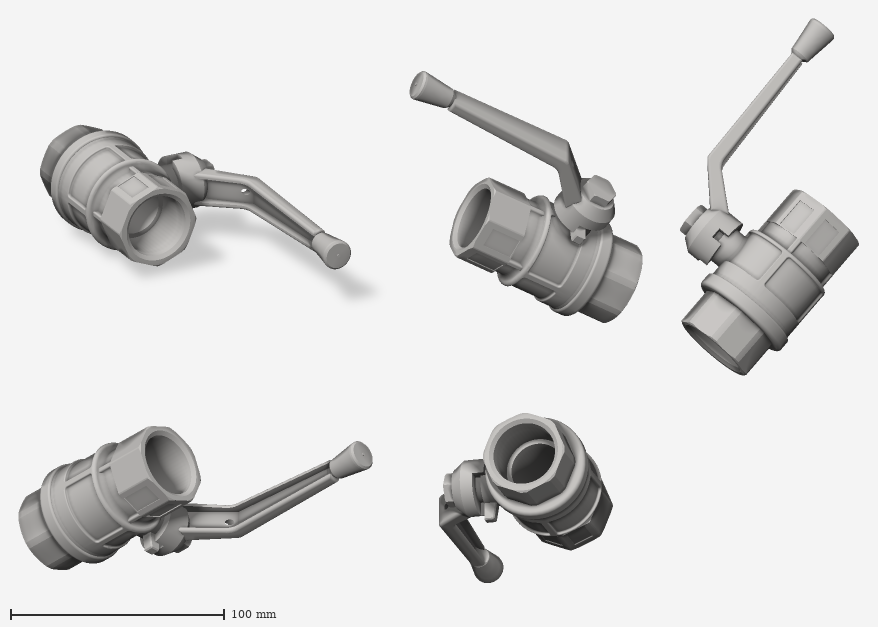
import cadquery as cq
import math


overall_length = 151.5
overall_height = 91.0
clearance = 1.5

through_radius = 12.7
thread_radius = 15.0
thread_depth = 24.2
mouth_radius = 16.8
mouth_depth = 1.5
wall_radius = mouth_radius

left_across_corners = 40.9
left_turned_radius = 19.8
end_chamfer_length = 0.6
end_chamfer_height = 0.9

flange_start = 19.1
flange_end = 26.0
flange_radius = 49.0 / 2
flange_front_round = 1.7
flange_back_round = 1.0
body_start = 27.4
foot_height = 0.3
body_radius = 23.0
body_end = 55.0
body_round = 1.7

panel_start = 34.8
panel_end = 52.9
panel_depth = 1.4
panel_gap = 3.3
panel_corner = 1.4
panel_floor_round = 0.68
panel_rim_round = 0.53

neck_radius = 18.6
rib_width = 2.7
rib_top_round = 0.8
rib_root_round = 0.8
neck_flare_round = 2.3
right_start = 62.7
right_end = 82.7
right_across_corners = 40.9
right_turned_radius = 20.3
right_corner_round = 1.5
label_start = 63.3
label_length = 14.8
label_width = 9.4
label_depth = 0.5
label_places = [(22.5, 0), (-22.5, 1.0), (157.5, 0), (-157.5, 0)]

stem_x = 41.2
collar_radius = 9.4
collar_top = 30.0
collar_root_round = 1.5
stem_radius = 7.1
cap_radius = 13.3
cap_bottom = 27.5
cap_shoulder = 39.0
cap_top = 44.1
cap_top_radius = 9.4
notch_width = 5.3
notch_top = 33.0
nut_across_corners = 16.2
nut_top = 48.6
nut_chamfer = 0.5

lug_reach = 17.1
lug_tip_bottom = 25.3
lug_root_bottom = 24.1
lug_root_reach = 9.8
lug_bevel = 0.6

lever_tip_x = 133.3
lever_tip_half_width = 5.2
lever_taper = 0.039
arm_top_root = (48.5, 42.4)
arm_top_bend = (67.4, 60.5)
arm_top_tip = (131.8, 62.4)
arm_bottom_tip = (131.8, 56.4)
arm_bottom_bend = (69.0, 53.3)
arm_bottom_root = (52.5, 34.4)
arm_edge_round = 1.4
arm_top_bend_round = 3.3
arm_bend_round = 7.5
channel_wall = 2.1
channel_web = 2.7
channel_end = 127.1
ramp_flat = 0.8
ramp_exit_x = 133.6
ramp_radius = 6.8
sight_hole_radius = 1.5
sight_hole_y = 55.0
grip_start = 130.6
grip_tip_radius = 2.9
grip_neck_x = 133.6
grip_neck_radius = 5.0
grip_rim_x = 149.1
grip_radius = 7.1
grip_rim_chamfer = 0.9
grip_end = 151.0
nub_radius = 0.8
grip_y = overall_height - flange_radius - grip_radius


def rod(x_start, x_end, radius):
    """Cylinder on the flow axis."""
    return cq.Workplane("YZ", origin=(x_start, 0, 0)).circle(radius).extrude(x_end - x_start)


def post(y_start, y_end, radius):
    """Cylinder on the stem axis."""
    plane = cq.Plane(origin=(stem_x, y_start, 0), xDir=(1, 0, 0), normal=(0, 1, 0))
    return cq.Workplane(plane).circle(radius).extrude(y_end - y_start)


def block(x_range, y_range, z_range):
    """Box between the given limits."""
    lows, highs = zip(x_range, y_range, z_range)
    sizes = [high - low for low, high in zip(lows, highs)]
    return cq.Workplane("XY").box(*sizes, centered=False).translate(lows)


def octagon(x_start, x_end, across_corners):
    """Octagonal bar on the flow axis with corners on the Y and Z axes."""
    plane = cq.Workplane("YZ", origin=(x_start, 0, 0))
    return plane.polygon(8, across_corners).extrude(x_end - x_start)


def left_end_piece():
    envelope = rod(0, flange_start + clearance, left_turned_radius)
    envelope = envelope.faces("<X").chamfer(end_chamfer_length, end_chamfer_height)
    return octagon(0, flange_start + clearance, left_across_corners).intersect(envelope)


def largest_round_face(solid):
    """Largest cylindrical face."""
    return max(solid.faces("%CYLINDER").vals(), key=lambda face: face.Area())


def plain_body():
    """Flange and barrel, joined by a short cone at the foot of the flange."""
    flange = rod(flange_start, flange_end, flange_radius)
    flange = flange.faces("<X").edges().fillet(flange_front_round)
    flange = flange.faces(">X").edges().fillet(flange_back_round)
    barrel = rod(flange_end, body_end, body_radius).faces(">X").edges().fillet(body_round)
    foot = rod(flange_end - flange_back_round, body_start, body_radius + foot_height)
    foot = foot.faces(">X").chamfer(body_start - flange_end, foot_height)
    return flange.union(barrel).union(foot)


def panel_cutter():
    """Recess for the +Y, +Z quarter, with rounded corners and floor edges."""
    edge = panel_gap / 2
    reach = body_radius + clearance
    floor_radius = body_radius - panel_depth
    cutter = block((panel_start, panel_end), (edge, reach), (edge, reach))
    cutter = cutter.cut(rod(panel_start - clearance, panel_end + clearance, floor_radius))
    cutter = cutter.faces("<Y").edges("|Z").fillet(panel_corner)
    cutter = cutter.faces("<Z").edges("|Y").fillet(panel_corner)
    floor_edges = largest_round_face(cutter).Edges()
    return cutter.newObject(floor_edges).fillet(panel_floor_round)


def round_body():
    """Plain body with four panels whose rims are rounded."""
    body = plain_body()
    for angle in (0, 90, 180, 270):
        body = body.cut(panel_cutter().rotate((0, 0, 0), (1, 0, 0), angle))
    rims = largest_round_face(body).innerWires()
    rim_edges = [edge for rim in rims for edge in rim.Edges()]
    return body.newObject(rim_edges).fillet(panel_rim_round)


def right_end_piece():
    bar = octagon(right_start, right_end, right_across_corners).edges("|X").fillet(right_corner_round)
    envelope = rod(right_start, right_end, right_turned_radius)
    envelope = envelope.faces(">X").chamfer(end_chamfer_length, end_chamfer_height)
    bar = bar.intersect(envelope)
    for angle, shift in label_places:
        bar = bar.cut(label_recess().translate((0, shift, 0)).rotate((0, 0, 0), (1, 0, 0), angle))
    return bar


def label_recess():
    """Shallow rectangle cut into an octagon flat that faces +Z."""
    apothem = right_across_corners / 2 * math.cos(math.pi / 8)
    return block(
        (label_start, label_start + label_length),
        (-label_width / 2, label_width / 2),
        (apothem - label_depth, apothem + label_depth),
    )


def neck():
    """Round neck with four ribs in line with the octagon corners."""
    x_range = (body_end - body_round, right_start)
    half = rib_width / 2
    reach = right_turned_radius
    ribbed = rod(*x_range, neck_radius)
    for y_reach, z_reach in ((half, reach), (reach, half)):
        rib_pair = block(x_range, (-y_reach, y_reach), (-z_reach, z_reach))
        ribbed = ribbed.union(rib_pair.edges("|X").fillet(rib_top_round))
    root = math.sqrt(neck_radius**2 - half**2)
    middle_x = sum(x_range) / 2
    for y, z in ((half, root), (root, half)):
        for y_side, z_side in ((1, 1), (1, -1), (-1, 1), (-1, -1)):
            root_edge = cq.selectors.NearestToPointSelector((middle_x, y_side * y, z_side * z))
            ribbed = ribbed.edges("|X").edges(root_edge).fillet(rib_root_round)
    return ribbed.union(neck_flare())


def neck_flare():
    """Hollow-curved transition from the body to the neck."""
    wide = neck_radius + neck_flare_round
    section = (
        cq.Workplane("XY")
        .moveTo(body_end, wall_radius)
        .lineTo(body_end, wide)
        .radiusArc((body_end + neck_flare_round, neck_radius), -neck_flare_round)
        .lineTo(body_end + neck_flare_round, wall_radius)
        .close()
    )
    return section.revolve(360, (0, 0, 0), (1, 0, 0))


def collar():
    """Stem collar that flares out where it meets the panel floor."""
    floor_radius = body_radius - panel_depth
    barrel = rod(flange_end, right_start, floor_radius).rotate((0, 0, 0), (1, 0, 0), 180)
    joined = barrel.union(post(wall_radius, collar_top, collar_radius))
    margin = clearance / 10
    root_edge = cq.selectors.BoxSelector(
        (stem_x - collar_radius - margin, wall_radius, -collar_radius - margin),
        (stem_x + collar_radius + margin, floor_radius + margin, collar_radius + margin),
        boundingbox=True,
    )
    joined = joined.edges(root_edge).fillet(collar_root_round)
    return joined.intersect(post(wall_radius, collar_top, collar_radius + collar_root_round))


def valve_body():
    body = round_body().union(neck()).union(left_end_piece()).union(right_end_piece())
    return body.union(collar())


def bore():
    passage = rod(-clearance, right_end + clearance, through_radius)
    thread = rod(0, thread_depth, thread_radius)
    outline = [(0, 0), (0, mouth_radius), (mouth_depth, thread_radius), (mouth_depth, 0)]
    mouth = cq.Workplane("XY").polyline(outline).close().revolve(360, (0, 0, 0), (1, 0, 0))
    port = thread.union(mouth)
    return passage.union(port).union(port.mirror("YZ").translate((right_end, 0, 0)))


def stop_lug():
    outline = [
        (collar_top, 0),
        (collar_top, -lug_reach),
        (lug_tip_bottom, -lug_reach),
        (lug_root_bottom, -lug_root_reach),
        (lug_root_bottom, 0),
    ]
    plane = cq.Workplane("YZ", origin=(stem_x - notch_width / 2, 0, 0))
    lug = plane.polyline(outline).close().extrude(notch_width)
    return lug.edges("not(>Y)").chamfer(lug_bevel)


def cap():
    """Lever hub with a notch on +Z and a quarter-turn gap for the stop lug."""
    profile = [
        (0, cap_bottom),
        (cap_radius, cap_bottom),
        (cap_radius, cap_shoulder),
        (cap_top_radius, cap_top),
        (0, cap_top),
    ]
    hub = cq.Workplane("XY").polyline(profile).close().revolve(360, (0, 0, 0), (0, 1, 0))
    hub = hub.translate((stem_x, 0, 0))
    half = notch_width / 2
    outside = cap_radius + clearance
    heights = (cap_bottom - clearance, notch_top)
    notch = block((stem_x - half, stem_x + half), heights, (0, outside))
    turn_gap = block((stem_x - outside, stem_x + half), heights, (-outside, half))
    return hub.cut(notch).cut(turn_gap).union(post(cap_bottom, notch_top, stem_radius))


def nut():
    plane = cq.Plane(origin=(stem_x, cap_top, 0), xDir=(1, 0, 0), normal=(0, 1, 0))
    hexagon = cq.Workplane(plane).polygon(6, nut_across_corners).extrude(nut_top - cap_top)
    envelope = post(cap_top, nut_top, nut_across_corners / 2).faces(">Y").chamfer(nut_chamfer)
    return hexagon.intersect(envelope)


def arm_profile():
    """Side outline of the bent arm as a slab across the whole lever width."""
    outline = [arm_top_root, arm_top_bend, arm_top_tip, arm_bottom_tip, arm_bottom_bend, arm_bottom_root]
    return cq.Workplane("XY").polyline(outline).close().extrude(cap_radius, both=True)


def taper_prism(inset):
    """Tall prism that narrows evenly toward the grip, inset from the arm sides."""
    half_tip = lever_tip_half_width - inset
    half_root = half_tip + lever_taper * (lever_tip_x - stem_x)
    outline = [
        (stem_x, half_root),
        (lever_tip_x, half_tip),
        (lever_tip_x, -half_tip),
        (stem_x, -half_root),
    ]
    return cq.Workplane("XZ").polyline(outline).close().extrude(-2 * grip_y)


def lever_arm():
    nearest = cq.selectors.NearestToPointSelector
    arm = arm_profile().edges(nearest((*arm_bottom_bend, 0))).fillet(arm_bend_round)
    arm = arm.edges(nearest((*arm_top_bend, 0))).fillet(arm_top_bend_round)
    arm = arm.intersect(taper_prism(0))
    sides = arm.faces(">Z or <Z")
    return arm.newObject(sides.edges().vals()).fillet(arm_edge_round)


def grip():
    """Flared handle end with a bevelled rim and a small centre nub."""
    profile = [
        (grip_start, 0),
        (grip_start, grip_tip_radius),
        (grip_neck_x, grip_neck_radius),
        (grip_rim_x, grip_radius),
        (grip_end - grip_rim_chamfer, grip_radius),
        (grip_end, grip_radius - grip_rim_chamfer),
        (grip_end, nub_radius),
        (overall_length, nub_radius),
        (overall_length, 0),
    ]
    handle = cq.Workplane("XY").polyline(profile).close().revolve(360, (0, 0, 0), (1, 0, 0))
    return handle.translate((0, grip_y, 0))


def channel():
    """Hollow under the arm: its floor follows the top of the arm and curves out at the grip."""
    slope = math.atan2(arm_top_bend[1] - arm_top_root[1], arm_top_bend[0] - arm_top_root[0])
    shift = channel_web / math.cos(slope / 2)
    hollow = arm_profile().translate((shift * math.sin(slope / 2), -shift * math.cos(slope / 2), 0))
    hollow = hollow.intersect(block((stem_x, channel_end), (0, 2 * grip_y), (-cap_radius, cap_radius)))
    floor_y = arm_top_tip[1] - channel_web
    exit_y = grip_y - grip_neck_radius
    ramp = (
        cq.Workplane("XY")
        .moveTo(channel_end, exit_y - clearance)
        .lineTo(channel_end, floor_y)
        .lineTo(channel_end + ramp_flat, floor_y)
        .radiusArc((ramp_exit_x, exit_y), ramp_radius)
        .lineTo(ramp_exit_x, exit_y - clearance)
        .close()
        .extrude(cap_radius, both=True)
    )
    return hollow.union(ramp).intersect(taper_prism(channel_wall))


def sight_hole():
    """Hole along X through the sloping part of the arm."""
    start = (arm_top_root[0], sight_hole_y, 0)
    length = arm_bottom_bend[0] + channel_web - arm_top_root[0]
    return cq.Workplane("YZ", origin=start).circle(sight_hole_radius).extrude(length)


lever = lever_arm().union(grip()).cut(channel()).cut(sight_hole())
hub = cap().union(nut())
lever = lever.cut(post(cap_bottom, cap_top, cap_top_radius))

result = valve_body().cut(bore()).union(stop_lug()).union(hub).union(lever)